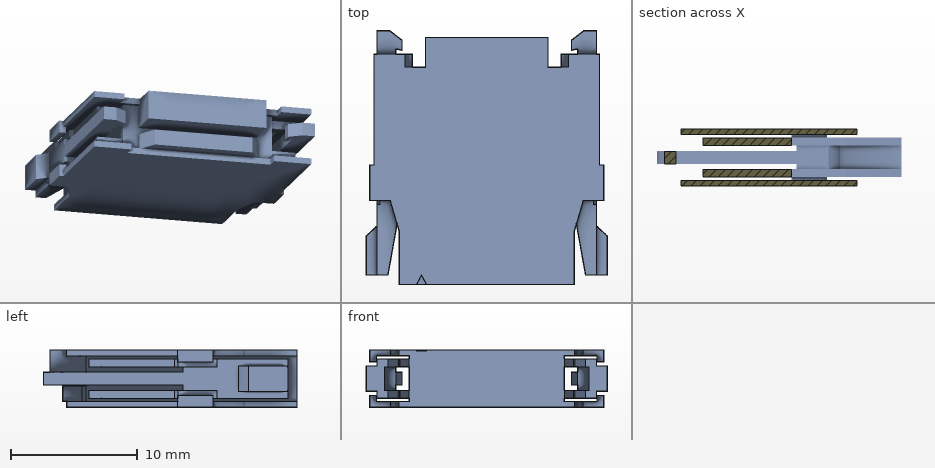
import cadquery as cq

HALF_HEIGHT = 2.27
PLATE_THICKNESS = 0.47
CORE_HALF_HEIGHT = HALF_HEIGHT - PLATE_THICKNESS
SHOULDER_HEIGHT = 0.95

FRONT_Y = -10
REAR_Y = 10
TAPER_START_Y = -5.82
SHOULDER_FRONT_Y = -3.38
SHOULDER_REAR_Y = -0.58
CORE_REAR_Y = 6.65
NOTCH_Y = 7.12
PLATE_REAR_Y = 8.15
TONGUE_REAR_Y = 9.48

FRONT_HALF_WIDTH = 6.9
TAPER_HALF_WIDTH = 7.6
CORE_HALF_WIDTH = 6.12
PLATE_HALF_WIDTH = 8.9
SHOULDER_HALF_WIDTH = 9.22
SHOULDER_INNER_X = 8.68
TONGUE_HALF_WIDTH = 4.85
TOP_NOTCH_HALF_WIDTH = 6.45
BOTTOM_NOTCH_HALF_WIDTH = 5.85

TONGUE_BOTTOM_Z = 0

KEY_TOP_Z = -0.58
KEY_REAR_Y = 8.48
KEY_CHAMFER_Y = 6.95
KEY_REAR_HALF_WIDTH = 4

LATCH_OUTER_X = 8.65
LATCH_HALF_HEIGHT = 1.55
LATCH_FRONT_Y = -9.25
LATCH_FRONT_INNER_X = 7.78
WEB_HALF_GAP = 0.92
WEB_KNEE_Y = -4.8
WEB_KNEE_X = 6.98
WEB_SLOT_END_Y = 5.4
WEB_SLOT_END_X = 6.85
WEB_OUTER_X = 8.4
WEB_REAR_OUTER_X = 8.12
WEB_STEP_Y = -0.6
WEB_REAR_Y = 6.42
WEB_SHOULDER_Y = -3.7
ARM_HALF_HEIGHT = 0.52
ARM_INNER_X = 7.15
ARM_WIDE_REAR_Y = -1
GRIP_INNER_X = 8.05
GRIP_RAMP_Y = -4.4
HEAD_OUTER_X = 9.5
HEAD_HALF_HEIGHT = 1
HEAD_REAR_Y = -5.38
HEAD_CHAMFER_Y = -6.18
HOOK_TIP_X = 6.65
HOOK_ROOT_Y = 8.55
HOOK_TIP_FRONT_Y = 8.45
HOOK_TIP_REAR_Y = 9.25
HOOK_CHAMFER_X = 7.65

MARK_X = -5.15
MARK_WIDTH = 0.8
MARK_LENGTH = 0.75
MARK_DEPTH = 0.08


def prism(points, z_low, z_high):
    """Extrude a closed plan outline between two heights."""
    return cq.Workplane("XY").workplane(offset=z_low).polyline(points).close().extrude(z_high - z_low)


def block(x_low, x_high, y_low, y_high, z_low, z_high):
    """Axis-aligned box given by its limits."""
    corners = [(x_low, y_low), (x_high, y_low), (x_high, y_high), (x_low, y_high)]
    return prism(corners, z_low, z_high)


def mirrored_outline(right_side):
    """Close a right-hand outline with its mirror image across X = 0."""
    return right_side + [(-x, y) for x, y in reversed(right_side)]


def cover_plate(z_low, notch_half_width):
    """Outer plate with a tapered front and a rear notch."""
    outline = mirrored_outline([
        (FRONT_HALF_WIDTH, FRONT_Y),
        (FRONT_HALF_WIDTH, TAPER_START_Y),
        (TAPER_HALF_WIDTH, SHOULDER_FRONT_Y),
        (SHOULDER_HALF_WIDTH, SHOULDER_FRONT_Y),
        (SHOULDER_HALF_WIDTH, SHOULDER_REAR_Y),
        (PLATE_HALF_WIDTH, SHOULDER_REAR_Y),
        (PLATE_HALF_WIDTH, PLATE_REAR_Y),
        (notch_half_width, PLATE_REAR_Y),
        (notch_half_width, NOTCH_Y),
    ])
    return prism(outline, z_low, z_low + PLATE_THICKNESS)


def housing():
    """Core, cover plates, rear tongue and the key below it."""
    core = block(-CORE_HALF_WIDTH, CORE_HALF_WIDTH, FRONT_Y, CORE_REAR_Y, -CORE_HALF_HEIGHT, CORE_HALF_HEIGHT)
    tongue = block(
        -TONGUE_HALF_WIDTH, TONGUE_HALF_WIDTH, CORE_REAR_Y, TONGUE_REAR_Y,
        TONGUE_BOTTOM_Z, HALF_HEIGHT,
    )
    key = prism(
        mirrored_outline([
            (TONGUE_HALF_WIDTH, CORE_REAR_Y),
            (TONGUE_HALF_WIDTH, KEY_CHAMFER_Y),
            (KEY_REAR_HALF_WIDTH, KEY_REAR_Y),
        ]),
        -CORE_HALF_HEIGHT,
        KEY_TOP_Z,
    )
    top_plate = cover_plate(CORE_HALF_HEIGHT, TOP_NOTCH_HALF_WIDTH)
    bottom_plate = cover_plate(-HALF_HEIGHT, BOTTOM_NOTCH_HALF_WIDTH)
    return core.union(top_plate).union(bottom_plate).union(tongue).union(key)


def shoulder_lips():
    """Lips at the plate edges that guard the right-hand latch."""
    lip = block(
        SHOULDER_INNER_X, SHOULDER_HALF_WIDTH, SHOULDER_FRONT_Y, SHOULDER_REAR_Y,
        HALF_HEIGHT - SHOULDER_HEIGHT, HALF_HEIGHT,
    )
    return lip.union(lip.mirror("XY"))


def latch_web():
    """Upper and lower spring webs of the right-hand latch, joined to the core at their rear end."""
    web = prism(
        [
            (CORE_HALF_WIDTH, WEB_SLOT_END_Y),
            (WEB_SLOT_END_X, WEB_SLOT_END_Y),
            (WEB_KNEE_X, WEB_KNEE_Y),
            (LATCH_FRONT_INNER_X, LATCH_FRONT_Y),
            (LATCH_OUTER_X, LATCH_FRONT_Y),
            (LATCH_OUTER_X, WEB_SHOULDER_Y),
            (WEB_OUTER_X, WEB_SHOULDER_Y),
            (WEB_OUTER_X, WEB_STEP_Y),
            (WEB_REAR_OUTER_X, WEB_STEP_Y + WEB_OUTER_X - WEB_REAR_OUTER_X),
            (WEB_REAR_OUTER_X, WEB_REAR_Y),
            (CORE_HALF_WIDTH, WEB_REAR_Y),
        ],
        WEB_HALF_GAP,
        LATCH_HALF_HEIGHT,
    )
    return web.union(web.mirror("XY"))


def latch_lever():
    """Right-hand lever: thin grip with its outer head, thick middle and hooked rear arm."""
    middle = prism(
        [
            (GRIP_INNER_X, LATCH_FRONT_Y),
            (LATCH_OUTER_X, LATCH_FRONT_Y),
            (LATCH_OUTER_X, ARM_WIDE_REAR_Y),
            (ARM_INNER_X, ARM_WIDE_REAR_Y),
            (ARM_INNER_X, GRIP_RAMP_Y + GRIP_INNER_X - ARM_INNER_X),
            (GRIP_INNER_X, GRIP_RAMP_Y),
        ],
        -WEB_HALF_GAP,
        WEB_HALF_GAP,
    )
    hooked_arm = prism(
        [
            (ARM_INNER_X, ARM_WIDE_REAR_Y),
            (LATCH_OUTER_X, ARM_WIDE_REAR_Y),
            (LATCH_OUTER_X, REAR_Y),
            (HOOK_CHAMFER_X, REAR_Y),
            (HOOK_TIP_X, HOOK_TIP_REAR_Y),
            (HOOK_TIP_X, HOOK_TIP_FRONT_Y),
            (ARM_INNER_X, HOOK_ROOT_Y),
        ],
        -ARM_HALF_HEIGHT,
        ARM_HALF_HEIGHT,
    )
    head = prism(
        [
            (LATCH_OUTER_X, LATCH_FRONT_Y),
            (HEAD_OUTER_X, LATCH_FRONT_Y),
            (HEAD_OUTER_X, HEAD_CHAMFER_Y),
            (LATCH_OUTER_X, HEAD_REAR_Y),
        ],
        -HEAD_HALF_HEIGHT,
        HEAD_HALF_HEIGHT,
    )
    return middle.union(hooked_arm).union(head)


def pin_one_mark():
    """Triangular recess at the front edge of the top plate."""
    outline = [
        (MARK_X - MARK_WIDTH / 2, FRONT_Y),
        (MARK_X + MARK_WIDTH / 2, FRONT_Y),
        (MARK_X, FRONT_Y + MARK_LENGTH),
    ]
    return prism(outline, HALF_HEIGHT - MARK_DEPTH, HALF_HEIGHT)


right_side = shoulder_lips().union(latch_web()).union(latch_lever())
result = housing().union(right_side).union(right_side.mirror("YZ")).cut(pin_one_mark())